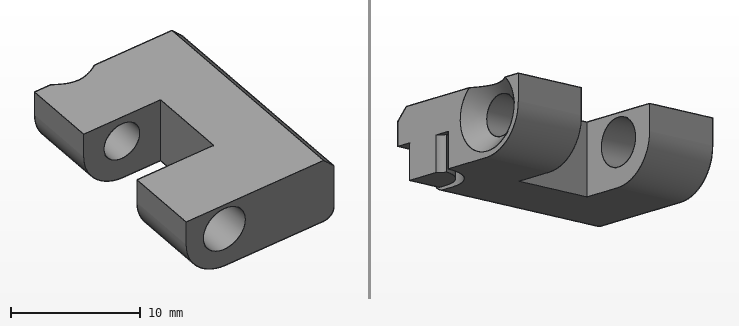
import cadquery as cq

length = 20.0
depth = 14.1
height = 6.0
nose_radius = 3.75
rear_chamfer = 1.0
rear_fillet = 1.0

gap_width = 7.0
gap_depth = 7.32

bore_y = 3.65
bore_z = 3.65
left_bore_diameter = 3.4
right_bore_diameter = 4.0
countersink_diameter = 6.3

channel_height = 3.0
channel_front_y = 8.25
channel_outer_radius = 3.75
channel_width = 0.68
rear_opening = 1.35

scoop_diameter = 1.5
scoop_depth = 0.48

left_end = -length / 2


def make_body():
    """Full-length block with a round lower front, rear chamfer and rear fillet."""
    block = cq.Workplane("XY").box(length, depth, height, centered=(True, False, False))
    block = block.faces("<Y").edges("<Z").fillet(nose_radius)
    block = block.faces(">Y").edges("<Z").fillet(rear_fillet)
    return block.faces(">Y").edges(">Z").chamfer(rear_chamfer)


def make_gap():
    """Rectangular opening that splits the front into two lugs."""
    return cq.Workplane("XY").box(gap_width, gap_depth, height, centered=(True, False, False))


def make_bore(start_x, diameter):
    """Cylinder along +X on the pin axis, as long as one lug."""
    lug_length = (length - gap_width) / 2
    return cq.Workplane("YZ", origin=(start_x, bore_y, bore_z)).circle(diameter / 2).extrude(lug_length)


def make_countersink():
    """90-degree cone narrowing from the left end down to the left bore."""
    large_radius = countersink_diameter / 2
    small_radius = left_bore_diameter / 2
    cone = cq.Solid.makeCone(
        large_radius,
        small_radius,
        large_radius - small_radius,
        pnt=cq.Vector(left_end, bore_y, bore_z),
        dir=cq.Vector(1, 0, 0),
    )
    return cq.Workplane(cone)


def make_quarter_round_block(radius, front_y, rear_y):
    """Channel-height block on the left end whose inner front corner is a quarter circle."""
    return (
        cq.Workplane("XY", origin=(left_end, 0, 0))
        .moveTo(0, front_y)
        .radiusArc((radius, front_y + radius), -radius)
        .lineTo(radius, rear_y)
        .lineTo(0, rear_y)
        .close()
        .extrude(channel_height)
    )


def make_channel():
    """Curved channel from the left end to the rear, with the island left standing inside it."""
    island_radius = channel_outer_radius - channel_width
    island_front_y = channel_front_y + channel_width
    pocket = make_quarter_round_block(channel_outer_radius, channel_front_y, depth)
    island = make_quarter_round_block(island_radius, island_front_y, depth - rear_opening)
    return pocket.cut(island)


def make_scoop():
    """Upright round scoop in the front corner of the island."""
    scoop_radius = scoop_diameter / 2
    scoop_x = left_end + scoop_depth - scoop_radius
    scoop_y = channel_front_y + channel_width
    return cq.Workplane("XY").center(scoop_x, scoop_y).circle(scoop_radius).extrude(channel_height)


result = (
    make_body()
    .cut(make_gap())
    .cut(make_bore(left_end, left_bore_diameter))
    .cut(make_bore(gap_width / 2, right_bore_diameter))
    .cut(make_countersink())
    .cut(make_channel())
    .cut(make_scoop())
)